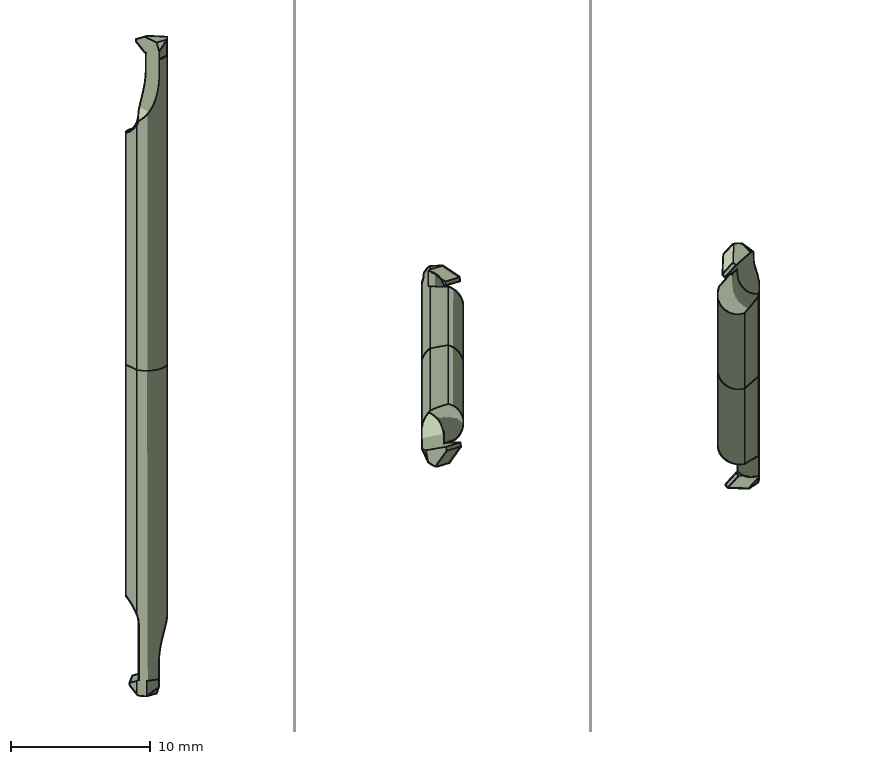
import cadquery as cq
import math

TOTAL_LENGTH = 50.0
HALF_LENGTH = TOTAL_LENGTH / 2
SHANK_DIAMETER = 3.0
SHANK_RADIUS = SHANK_DIAMETER / 2
WIDTH_OVER_FLATS = 2.7
FLAT_Y = WIDTH_OVER_FLATS / 2
CLEARANCE = 1.0

RAKE_FLAT_LENGTH = 2.5
RAKE_RUNOUT_RADIUS = 5.0

NECK_LEFT_X = -0.1
NECK_RADIUS = 1.35
NECK_AXIS_X = NECK_LEFT_X + NECK_RADIUS
NECK_FLARE_RADIUS = 2.0
NECK_FLARE_START_Z = 19.5

HEAD_HEIGHT = 1.2
HEAD_BOTTOM_Z = HALF_LENGTH - HEAD_HEIGHT
TIP_X = -1.3
TIP_Z = HALF_LENGTH - HEAD_HEIGHT / 2
TIP_LAND_HEIGHT = 0.15
SHOULDER_X = -0.25
LAND_DEPTH = 0.3
RELIEF_ANGLE = 45.0
BACK_CHAMFER_WIDTH = 0.3
BACK_CHAMFER_HEIGHT = 0.6
BACK_RELIEF_ANGLE = 18.0


def shank_blank():
    """Round bar with two flats, from mid length to the top."""
    bar = cq.Workplane("XY").circle(SHANK_RADIUS).extrude(HALF_LENGTH)
    slab = cq.Workplane("XY").rect(2 * SHANK_DIAMETER, WIDTH_OVER_FLATS).extrude(HALF_LENGTH)
    return bar.intersect(slab)


def rake_cutter():
    """Removes the -Y side above the rake face and its arc run-out."""
    flat_end_z = HALF_LENGTH - RAKE_FLAT_LENGTH
    depth = SHANK_RADIUS
    angle = math.acos(1 - depth / RAKE_RUNOUT_RADIUS)

    def runout_point(turn):
        y = -RAKE_RUNOUT_RADIUS * (1 - math.cos(turn))
        return (y, flat_end_z - RAKE_RUNOUT_RADIUS * math.sin(turn))

    return (
        cq.Workplane("YZ")
        .moveTo(0, HALF_LENGTH + CLEARANCE)
        .lineTo(0, flat_end_z)
        .threePointArc(runout_point(angle / 2), runout_point(angle))
        .lineTo(-depth, HALF_LENGTH + CLEARANCE)
        .close()
        .extrude(SHANK_DIAMETER, both=True)
    )


def neck_cutter():
    """Ring around the neck axis, with an arc flare at its lower end."""
    flare_end_r = NECK_RADIUS + NECK_FLARE_RADIUS
    mid_shift = NECK_FLARE_RADIUS * math.sqrt(0.5)
    flare_middle = (flare_end_r - mid_shift, NECK_FLARE_START_Z - mid_shift)
    return (
        cq.Workplane("XZ", origin=(NECK_AXIS_X, 0, 0))
        .moveTo(NECK_RADIUS, HALF_LENGTH + CLEARANCE)
        .lineTo(NECK_RADIUS, NECK_FLARE_START_Z)
        .threePointArc(flare_middle, (flare_end_r, NECK_FLARE_START_Z - NECK_FLARE_RADIUS))
        .lineTo(flare_end_r, HALF_LENGTH + CLEARANCE)
        .close()
        .revolve(360, (0, 0, 0), (0, 1, 0))
    )


def head_outline(shift, y):
    """Closed head outline at depth y, its cutting side moved by shift along X."""
    tip = TIP_X + shift
    shoulder = SHOULDER_X + shift
    points = [
        (SHANK_RADIUS, HEAD_BOTTOM_Z),
        (shoulder, HEAD_BOTTOM_Z),
        (tip, TIP_Z - TIP_LAND_HEIGHT / 2),
        (tip, TIP_Z + TIP_LAND_HEIGHT / 2),
        (shoulder, HALF_LENGTH),
        (SHANK_RADIUS, HALF_LENGTH),
    ]
    return cq.Wire.makePolygon([cq.Vector(x, y, z) for x, z in points], close=True)


def cutting_head(blank):
    """Pointed head: a straight land, then a slanted relief behind it."""
    end_shift = (FLAT_Y - LAND_DEPTH) * math.tan(math.radians(RELIEF_ANGLE))
    edge = head_outline(0, 0)
    land_end = head_outline(0, LAND_DEPTH)
    back = head_outline(end_shift, FLAT_Y)
    land = cq.Solid.makeLoft([edge, land_end], True)
    relief = cq.Solid.makeLoft([land_end, back], True)
    return cq.Workplane(land).union(cq.Workplane(relief)).intersect(blank)


def back_chamfer_cutter():
    """Wedge that bevels the +X top edge of the head."""
    return (
        cq.Workplane("XZ")
        .moveTo(SHANK_RADIUS - BACK_CHAMFER_WIDTH, HALF_LENGTH)
        .lineTo(SHANK_RADIUS, HALF_LENGTH - BACK_CHAMFER_HEIGHT)
        .lineTo(SHANK_RADIUS, HALF_LENGTH)
        .close()
        .extrude(SHANK_DIAMETER, both=True)
    )


def back_relief_cutter():
    """Wedge that thins the +X side of the head behind the rake face."""
    inset = FLAT_Y * math.tan(math.radians(BACK_RELIEF_ANGLE))
    return (
        cq.Workplane("XY", origin=(0, 0, HEAD_BOTTOM_Z))
        .moveTo(SHANK_RADIUS, 0)
        .lineTo(SHANK_RADIUS, FLAT_Y)
        .lineTo(SHANK_RADIUS - inset, FLAT_Y)
        .close()
        .extrude(HEAD_HEIGHT)
    )


def upper_half():
    """Half bar with its neck, rake face and cutting head."""
    blank = shank_blank()
    head_zone = (
        cq.Workplane("XY", origin=(0, 0, HEAD_BOTTOM_Z))
        .rect(2 * SHANK_DIAMETER, 2 * SHANK_DIAMETER)
        .extrude(HEAD_HEIGHT)
    )
    shank = blank.cut(rake_cutter()).cut(neck_cutter()).cut(head_zone)
    head = cutting_head(blank).cut(back_relief_cutter()).cut(back_chamfer_cutter())
    return shank.union(head)


half = upper_half()
half_bars = [half.rotate((0, 0, 0), (1, 0, 0), turn).val() for turn in (0, 180)]

result = cq.Compound.makeCompound(half_bars)